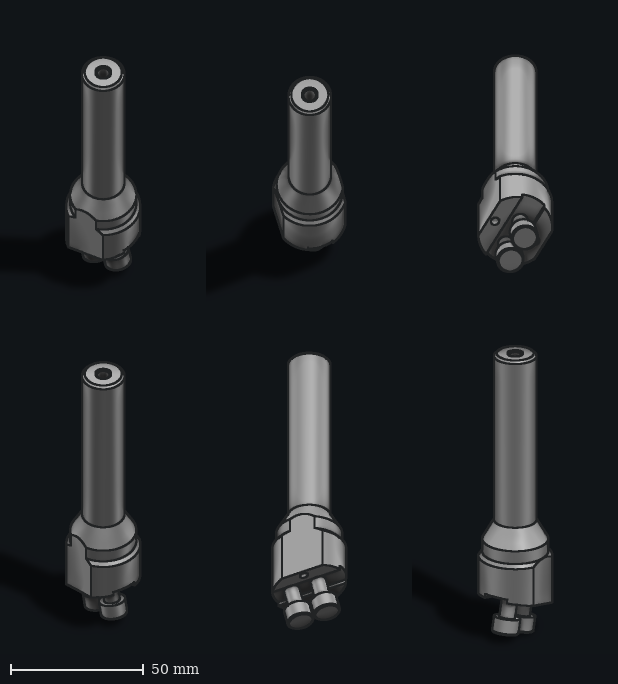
import cadquery as cq
import math

top_z = 115.5
shank_radius = 16.0 / 2
shank_chamfer = 1.0
collar_radius = 12.5
head_radius = 14.0
cone_top_z = 47.5
collar_top_z = 39.7
collar_bottom_z = 34.5
head_top_z = collar_bottom_z - (head_radius - collar_radius)

rear_flat_y = collar_radius
flat_spacing = 24.0
front_flat_y = rear_flat_y - flat_spacing

slant_angle = 13.7
slant_z = 15.7
slot_width = 9.8
slot_depth = 1.5

bore_radius = 2.4
bore_mouth_radius = 3.0
bore_bottom_z = 69.3
bore_tip_angle = 118.0
branch_radius = 1.5
branch_offset = 1.4
branch_angle = 8.0

screw_pitch = 10.5
screw_middle = -1.4
screw_radius = 3.0
screw_head_radius = 10.0 / 2
screw_head_height = 6.0
screw_head_chamfer = 0.5
screw_reach = 7.4
screw_engagement = 10.0

long_cut = 4 * head_radius

slant_rad = math.radians(slant_angle)
slant_plane = cq.Plane(
    origin=(0, 0, slant_z),
    xDir=(math.cos(slant_rad), 0, math.sin(slant_rad)),
    normal=(math.sin(slant_rad), 0, -math.cos(slant_rad)),
)
screw_positions = [(screw_middle + side * screw_pitch / 2, 0) for side in (-1, 1)]


def make_turned_blank():
    profile = [
        (0, 0),
        (head_radius, 0),
        (head_radius, head_top_z),
        (collar_radius, collar_bottom_z),
        (collar_radius, collar_top_z),
        (shank_radius, cone_top_z),
        (shank_radius, top_z - shank_chamfer),
        (shank_radius - shank_chamfer, top_z),
        (0, top_z),
    ]
    return cq.Workplane("XZ").polyline(profile).close().revolve(360, (0, 0), (0, 1))


def make_flats_envelope():
    """Block between the two flats; the holder is what lies inside it."""
    return (
        cq.Workplane("XY")
        .center(0, (rear_flat_y + front_flat_y) / 2)
        .rect(long_cut, rear_flat_y - front_flat_y)
        .extrude(top_z)
    )


def make_end_cut():
    """Everything below the slanted face, plus the slot sunk into it."""
    below_face = cq.Workplane(slant_plane).rect(long_cut, long_cut).extrude(long_cut)
    slot = cq.Workplane(slant_plane).rect(long_cut, slot_width).extrude(-slot_depth)
    return below_face.union(slot)


def make_bore():
    tip_depth = bore_radius / math.tan(math.radians(bore_tip_angle / 2))
    mouth_depth = bore_mouth_radius - bore_radius
    profile = [
        (0, bore_bottom_z - tip_depth),
        (bore_radius, bore_bottom_z),
        (bore_radius, top_z - mouth_depth),
        (bore_mouth_radius, top_z),
        (0, top_z),
    ]
    return cq.Workplane("XZ").polyline(profile).close().revolve(360, (0, 0), (0, 1))


def make_branch(side):
    """Passage from the bore to the slanted face; its axis leans sideways from a point on the bore axis."""
    lean = math.radians(branch_angle)
    start_z = bore_bottom_z + branch_offset / math.tan(lean)
    start_plane = cq.Plane(
        origin=(0, 0, start_z),
        xDir=(1, 0, 0),
        normal=(0, side * math.sin(lean), -math.cos(lean)),
    )
    return cq.Workplane(start_plane).circle(branch_radius).extrude(start_z)


def make_screw_shank(position):
    return (
        cq.Workplane(slant_plane)
        .workplane(offset=-screw_engagement)
        .center(*position)
        .circle(screw_radius)
        .extrude(screw_engagement + screw_reach)
    )


def make_screw(position):
    head = (
        cq.Workplane(slant_plane)
        .workplane(offset=screw_reach)
        .center(*position)
        .circle(screw_head_radius)
        .extrude(screw_head_height)
        .faces(cq.DirectionMinMaxSelector(slant_plane.zDir))
        .chamfer(screw_head_chamfer)
    )
    return head.union(make_screw_shank(position))


def make_holder():
    blank = make_turned_blank().intersect(make_flats_envelope())
    holder = blank.cut(make_end_cut()).cut(make_bore())
    for side in (-1, 1):
        holder = holder.cut(make_branch(side))
    for position in screw_positions:
        holder = holder.cut(make_screw_shank(position))
    return holder


holder = make_holder()
screws = [make_screw(position) for position in screw_positions]

result = cq.Compound.makeCompound([holder.val(), *[screw.val() for screw in screws]])